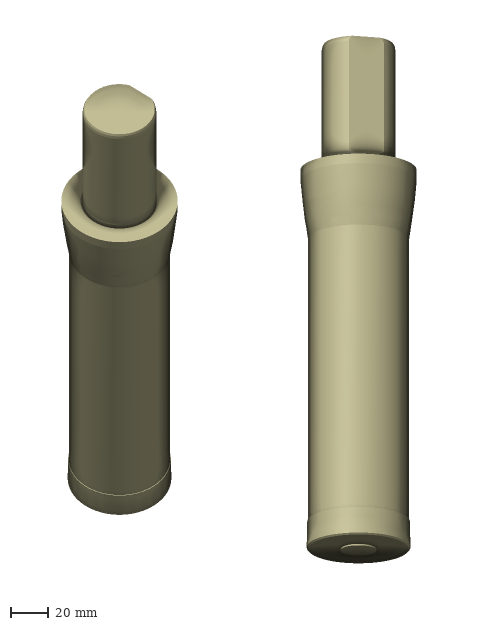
import cadquery as cq

total_height = 283.0
collar_top = 213.0
collar_band_height = 5.5
collar_height = 38.5
collar_bulge = 0.42
foot_top = 16.0
boss_height = 0.8

tube_diameter = 54.3
collar_diameter = 62.5
foot_top_diameter = 55.2
foot_base_diameter = 55.8
foot_chamfer = 0.8
boss_diameter = 19.2

rod_diameter = 39.5
land_diameter = 40.0
land_top = collar_top + 1.5
land_chamfer_height = 1.0
bore_depth = 28.3
mouth_diameter = 42.0
mouth_chamfer = (mouth_diameter - land_diameter) / 2

lead_taper_height = 1.7
lead_taper_width = 0.3
lead_edge_height = 1.0
lead_edge_width = 0.5

flat_depth = 2.5
flat_start = collar_top + 3.0
flat_runout_height = 2.8


def make_housing():
    """Tube with a bulging, tapered collar, a slightly conical foot and a blind bore."""
    tube_radius = tube_diameter / 2
    collar_radius = collar_diameter / 2
    foot_radius = foot_base_diameter / 2
    bore_radius = land_diameter / 2
    taper_bottom = collar_top - collar_height
    taper_top = collar_top - collar_band_height
    taper_middle = (
        (tube_radius + collar_radius) / 2 + collar_bulge,
        (taper_bottom + taper_top) / 2,
    )
    bore_floor = collar_top - bore_depth
    profile = (
        cq.Workplane("XZ")
        .moveTo(0, 0)
        .lineTo(boss_diameter / 2, 0)
        .lineTo(boss_diameter / 2, boss_height)
        .lineTo(foot_radius - foot_chamfer, boss_height)
        .lineTo(foot_radius, boss_height + foot_chamfer)
        .lineTo(foot_top_diameter / 2, foot_top)
        .lineTo(tube_radius, foot_top)
        .lineTo(tube_radius, taper_bottom)
        .threePointArc(taper_middle, (collar_radius, taper_top))
        .lineTo(collar_radius, collar_top)
        .lineTo(mouth_diameter / 2, collar_top)
        .lineTo(bore_radius, collar_top - mouth_chamfer)
        .lineTo(bore_radius, bore_floor)
        .lineTo(0, bore_floor)
        .close()
    )
    return profile.revolve(360, (0, 0, 0), (0, 1, 0))


def make_rod():
    """Round rod with a guide land in the bore, a lead-in at its top and a flat on +Y."""
    radius = rod_diameter / 2
    land_radius = land_diameter / 2
    edge_bottom = total_height - lead_edge_height
    rod_base = collar_top - bore_depth
    body = (
        cq.Workplane("XZ")
        .moveTo(0, rod_base)
        .lineTo(land_radius, rod_base)
        .lineTo(land_radius, land_top)
        .lineTo(radius, land_top + land_chamfer_height)
        .lineTo(radius, edge_bottom - lead_taper_height)
        .lineTo(radius - lead_taper_width, edge_bottom)
        .lineTo(radius - lead_taper_width - lead_edge_width, total_height)
        .lineTo(0, total_height)
        .close()
        .revolve(360, (0, 0, 0), (0, 1, 0))
    )
    flat_cut = (
        cq.Workplane("YZ")
        .moveTo(radius, flat_start)
        .lineTo(radius - flat_depth, flat_start + flat_runout_height)
        .lineTo(radius - flat_depth, total_height)
        .lineTo(radius, total_height)
        .close()
        .extrude(radius, both=True)
    )
    return body.cut(flat_cut)


housing = make_housing()
rod = make_rod()
result = cq.Compound.makeCompound([housing.val(), rod.val()])